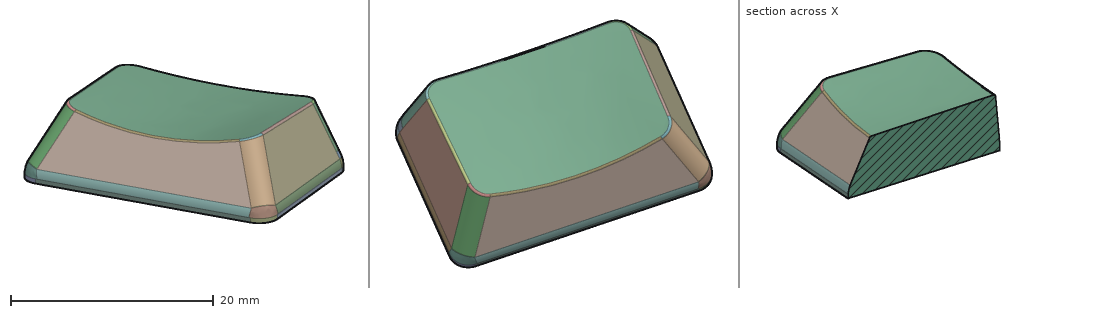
import cadquery as cq
import math

length = 27.7
depth = 18.16

skirt_height = 0.53
shoulder_top = 1.47
blank_height = 9.97
side_angle = 26.0
front_angle = 27.0
back_angle = 5.4

corner_radius = 2.0
rim_radius = 0.28

dish_half_width = 13.85
dish_front_low = 6.12
dish_front_high = 8.92
dish_back_low = 6.45
dish_back_high = 7.45


def wall_points(angle):
    """Inset and height of the shoulder's middle and top, and of the wall's top edge."""
    lean = math.radians(angle)
    radius = (shoulder_top - skirt_height) / math.sin(lean)
    middle = (radius * (1 - math.cos(lean / 2)), skirt_height + radius * math.sin(lean / 2))
    shoulder_inset = radius * (1 - math.cos(lean))
    wall_inset = shoulder_inset + (blank_height - shoulder_top) * math.tan(lean)
    return middle, (shoulder_inset, shoulder_top), (wall_inset, blank_height)


def make_prism(plane, width, low_side_angle, high_side_angle, thickness):
    """Centred extrusion of a skirt, tangent shoulders and leaning walls."""
    half = width / 2
    low_middle, low_shoulder, low_top = wall_points(low_side_angle)
    high_middle, high_shoulder, high_top = wall_points(high_side_angle)
    return (
        cq.Workplane(plane)
        .moveTo(-half, 0)
        .lineTo(half, 0)
        .lineTo(half, skirt_height)
        .threePointArc(
            (half - high_middle[0], high_middle[1]), (half - high_shoulder[0], high_shoulder[1])
        )
        .lineTo(half - high_top[0], high_top[1])
        .lineTo(low_top[0] - half, low_top[1])
        .lineTo(low_shoulder[0] - half, low_shoulder[1])
        .threePointArc((low_middle[0] - half, low_middle[1]), (-half, skirt_height))
        .close()
        .extrude(thickness / 2, both=True)
    )


def make_blank():
    """Undished key: the overlap of a side-to-side and a front-to-back prism."""
    across = make_prism("XZ", length, side_angle, side_angle, depth)
    along = make_prism("YZ", depth, front_angle, back_angle, length)
    blank = across.intersect(along)
    corners = [edge for edge in blank.edges().vals() if edge.BoundingBox().zlen > skirt_height / 2]
    return blank.newObject(corners).fillet(corner_radius)


def dish_outline(y, low, high):
    """Closed section of the dish cutter: an arc below, a flat top level with the blank."""
    top = blank_height
    edges = [
        cq.Edge.makeThreePointArc(
            cq.Vector(-dish_half_width, y, high),
            cq.Vector(0, y, low),
            cq.Vector(dish_half_width, y, high),
        ),
        cq.Edge.makeLine(cq.Vector(dish_half_width, y, high), cq.Vector(dish_half_width, y, top)),
        cq.Edge.makeLine(cq.Vector(dish_half_width, y, top), cq.Vector(-dish_half_width, y, top)),
        cq.Edge.makeLine(cq.Vector(-dish_half_width, y, top), cq.Vector(-dish_half_width, y, high)),
    ]
    return cq.Wire.assembleEdges(edges)


def make_dish():
    """Finger dish, deep at the front and shallower toward the back."""
    front = dish_outline(-depth / 2, dish_front_low, dish_front_high)
    back = dish_outline(depth / 2, dish_back_low, dish_back_high)
    return cq.Solid.makeLoft([front, back], True)


key = make_blank().cut(cq.Workplane(obj=make_dish()))
dished_face = key.faces(cq.selectors.NearestToPointSelector((0, 0, dish_front_low)))
result = dished_face.edges().fillet(rim_radius)